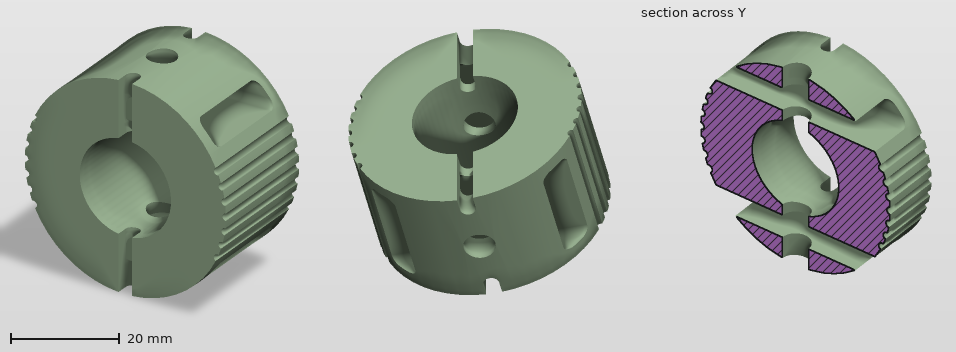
import cadquery as cq
import math

outer_radius = 22.0
bore_radius = 10.0
width = 25.0

slot_width = 3.0
slot_depth = 4.0

radial_hole_diameter = 6.0

window_length = 20.0
window_height = 5.0
window_corner_radius = 1.5
window_inner_edge = 12.0
window_offset = window_inner_edge + window_height / 2

groove_radius = 0.75
groove_pitch_angle = 8.0
grooves_each_way = 3

cut_margin = 1.0
cut_length = 2 * (outer_radius + cut_margin)


def ring():
    """Ring centred on the origin."""
    profile = cq.Workplane("XZ").circle(outer_radius).circle(bore_radius)
    return profile.extrude(width / 2, both=True)


def face_slot(side):
    """Full-height slot in the flat face on the given Y side (-1 or +1)."""
    end_centre = side * (width / 2 - slot_depth + slot_width / 2)
    outside = side * (width / 2 + cut_margin)
    straight = (
        cq.Workplane("XY")
        .center(0, (end_centre + outside) / 2)
        .rect(slot_width, abs(outside - end_centre))
        .extrude(cut_length / 2, both=True)
    )
    round_end = (
        cq.Workplane("XY")
        .center(0, end_centre)
        .circle(slot_width / 2)
        .extrude(cut_length / 2, both=True)
    )
    return straight.union(round_end)


def radial_hole():
    """Cross hole along Z at mid-width."""
    return cq.Workplane("XY").circle(radial_hole_diameter / 2).extrude(cut_length / 2, both=True)


def strap_window(side):
    """Rounded rectangular passage along X, above (+1) or below (-1) the bore."""
    return (
        cq.Workplane("YZ")
        .center(0, side * window_offset)
        .rect(window_length, window_height)
        .extrude(cut_length / 2, both=True)
        .edges("|X")
        .fillet(window_corner_radius)
    )


def grip_grooves():
    """Half-round grooves centred on the rim, spread evenly above and below the X axis on both sides."""
    centres = []
    for side in (-1, 1):
        for step in range(-grooves_each_way, grooves_each_way + 1):
            angle = math.radians(step * groove_pitch_angle)
            x = side * outer_radius * math.cos(angle)
            z = outer_radius * math.sin(angle)
            centres.append((x, z))
    return (
        cq.Workplane("XZ")
        .pushPoints(centres)
        .circle(groove_radius)
        .extrude(width / 2 + cut_margin, both=True)
    )


body = ring().cut(radial_hole()).cut(grip_grooves())
for side in (-1, 1):
    body = body.cut(face_slot(side)).cut(strap_window(side))

result = body